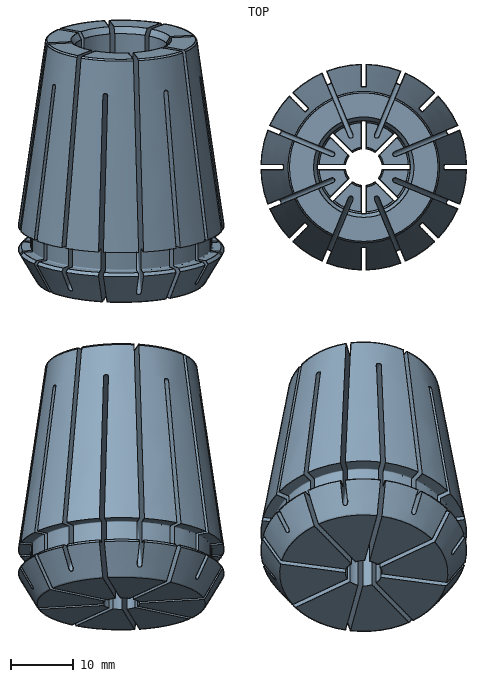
import cadquery as cq
import math

length = 40.0
taper_half_angle = 8.0
max_radius = 16.5
taper_start_z = 9.1
top_edge_chamfer = 0.25

nose_half_angle = 30.0
nose_radius = 13.55
nose_edge_chamfer = 0.15
rim_top_z = 5.6
rim_chamfer = 0.45
groove_radius = 14.6
groove_fillet = 0.15

bore_radius = 7.45
bore_floor_z = 24.1
bore_floor_radius = 7.15
bore_mouth_radius = 8.05
bore_chamfer_half_angle = 30.0
hole_radius = 2.95
hole_chamfer = 0.25

slots_per_end = 8
slot_width = 0.8
nose_slot_top_z = 34.5
back_slot_outer_z = 1.5
back_slot_slope = 67.5


def body():
    """Revolve the half section: outside from nose to top, then down the stepped bore."""
    nose_edge_radius = nose_radius + nose_edge_chamfer * math.tan(math.radians(nose_half_angle))
    nose_height = (max_radius - nose_radius) / math.tan(math.radians(nose_half_angle))
    top_radius = max_radius - (length - taper_start_z) * math.tan(math.radians(taper_half_angle))
    bore_chamfer_slope = math.tan(math.radians(bore_chamfer_half_angle))
    mouth_depth = (bore_mouth_radius - bore_radius) / bore_chamfer_slope
    floor_chamfer_height = (bore_radius - bore_floor_radius) / bore_chamfer_slope
    return (
        cq.Workplane("XZ")
        .moveTo(hole_radius, 0)
        .lineTo(nose_edge_radius - nose_edge_chamfer, 0)
        .lineTo(nose_edge_radius, nose_edge_chamfer)
        .lineTo(max_radius, nose_height)
        .lineTo(max_radius - rim_chamfer, rim_top_z)
        .lineTo(groove_radius + groove_fillet, rim_top_z)
        .radiusArc((groove_radius, rim_top_z + groove_fillet), groove_fillet)
        .lineTo(groove_radius, taper_start_z - groove_fillet)
        .radiusArc((groove_radius + groove_fillet, taper_start_z), groove_fillet)
        .lineTo(max_radius, taper_start_z)
        .lineTo(top_radius, length - top_edge_chamfer)
        .lineTo(top_radius - top_edge_chamfer, length)
        .lineTo(bore_mouth_radius, length)
        .lineTo(bore_radius, length - mouth_depth)
        .lineTo(bore_radius, bore_floor_z + floor_chamfer_height)
        .lineTo(bore_floor_radius, bore_floor_z)
        .lineTo(hole_radius + hole_chamfer, bore_floor_z)
        .lineTo(hole_radius, bore_floor_z - hole_chamfer)
        .close()
        .revolve(360, (0, 0, 0), (0, 1, 0))
    )


def nose_slot():
    """Radial blade along +X, open at the nose, with a rounded upper end."""
    half_width = slot_width / 2
    return (
        cq.Workplane("YZ")
        .moveTo(-half_width, 0)
        .lineTo(-half_width, nose_slot_top_z - half_width)
        .threePointArc((0, nose_slot_top_z), (half_width, nose_slot_top_z - half_width))
        .lineTo(half_width, 0)
        .close()
        .extrude(max_radius)
    )


def back_slot():
    """Radial blade along +X, open at the top, with a rounded bottom that rises inward."""
    half_width = slot_width / 2
    slope = math.radians(back_slot_slope)
    outer_radius = nose_radius + back_slot_outer_z * math.tan(math.radians(nose_half_angle))
    start = (outer_radius + length * math.cos(slope), 0, back_slot_outer_z - length * math.sin(slope))
    section = cq.Plane(origin=start, xDir=(0, -1, 0), normal=(-math.cos(slope), 0, math.sin(slope)))
    reach = 3 * length
    blade = (
        cq.Workplane(section)
        .moveTo(-half_width, reach)
        .lineTo(-half_width, half_width)
        .threePointArc((0, 0), (half_width, half_width))
        .lineTo(half_width, reach)
        .close()
        .extrude(reach)
    )
    outer_half = cq.Workplane("XY").box(reach, reach, reach, centered=(False, True, True))
    return blade.intersect(outer_half)


def cut_around(part, cutter, first_angle):
    """Cut evenly spaced copies of the cutter about the Z axis."""
    for index in range(slots_per_end):
        angle = first_angle + index * 360 / slots_per_end
        part = part.cut(cutter.rotate((0, 0, 0), (0, 0, 1), angle))
    return part


slotted_nose = cut_around(body(), nose_slot(), 0)
result = cut_around(slotted_nose, back_slot(), 180 / slots_per_end)